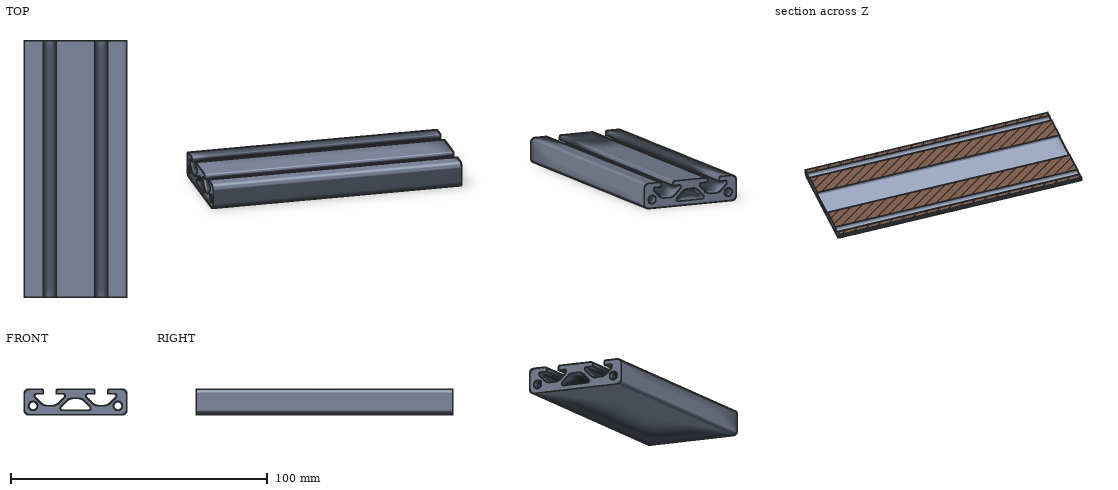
import cadquery as cq

width = 40.0
length = 100.0
height = 10.0
corner_radius = 2.0

slot_offset = 10.0
slot_opening = 5.0
lip_thickness = 1.8
lip_radius = 0.9
slot_floor = 3.6
slot_floor_width = 4.9

wall = 1.8
hollow_top = 6.4
hollow_top_width = 4.9

sharp_corner_radius = 0.8
wide_corner_radius = 3.5

bore_diameter = 3.3
bore_inset = 3.5


def extrude_along_y(profile):
    """Extrude an XZ profile from Y = 0 to Y = length."""
    return profile.extrude(-length)


def trapezoid_prism(center_x, low, high, low_width, high_width):
    """Full-length prism with a symmetric trapezoid section."""
    half_low = low_width / 2
    half_high = high_width / 2
    profile = cq.Workplane("XZ").polyline([
        (center_x - half_low, low),
        (center_x + half_low, low),
        (center_x + half_high, high),
        (center_x - half_high, high),
    ]).close()
    return extrude_along_y(profile)


def make_body():
    profile = cq.Workplane("XZ").center(0, height / 2).rect(width, height)
    return extrude_along_y(profile).edges("|Y").fillet(corner_radius)


def make_slot_cavity(center_x):
    cavity_top = height - lip_thickness
    top_width = slot_floor_width + 2 * (cavity_top - slot_floor)
    cavity = trapezoid_prism(center_x, slot_floor, cavity_top, slot_floor_width, top_width)
    cavity = cavity.faces(">Z").edges("|Y").fillet(sharp_corner_radius)
    return cavity.faces("<Z").edges("|Y").fillet(wide_corner_radius)


def make_slot_mouth(center_x):
    """Slot opening, flaring outward at the top around the rounded lips."""
    half = slot_opening / 2
    bottom = height - lip_thickness
    round_start = height - lip_radius
    profile = (
        cq.Workplane("XZ")
        .moveTo(center_x - half, bottom)
        .lineTo(center_x + half, bottom)
        .lineTo(center_x + half, round_start)
        .radiusArc((center_x + half + lip_radius, height), lip_radius)
        .lineTo(center_x - half - lip_radius, height)
        .radiusArc((center_x - half, round_start), lip_radius)
        .close()
    )
    return extrude_along_y(profile)


def make_hollow():
    bottom_width = hollow_top_width + 2 * (hollow_top - wall)
    hollow = trapezoid_prism(0, wall, hollow_top, bottom_width, hollow_top_width)
    hollow = hollow.faces("<Z").edges("|Y").fillet(sharp_corner_radius)
    return hollow.faces(">Z").edges("|Y").fillet(wide_corner_radius)


def make_bore(center_x):
    profile = cq.Workplane("XZ").center(center_x, bore_inset).circle(bore_diameter / 2)
    return extrude_along_y(profile)


result = make_body().cut(make_hollow())
for side in (-1, 1):
    result = result.cut(make_slot_cavity(side * slot_offset))
    result = result.cut(make_slot_mouth(side * slot_offset))
    result = result.cut(make_bore(side * (width / 2 - bore_inset)))